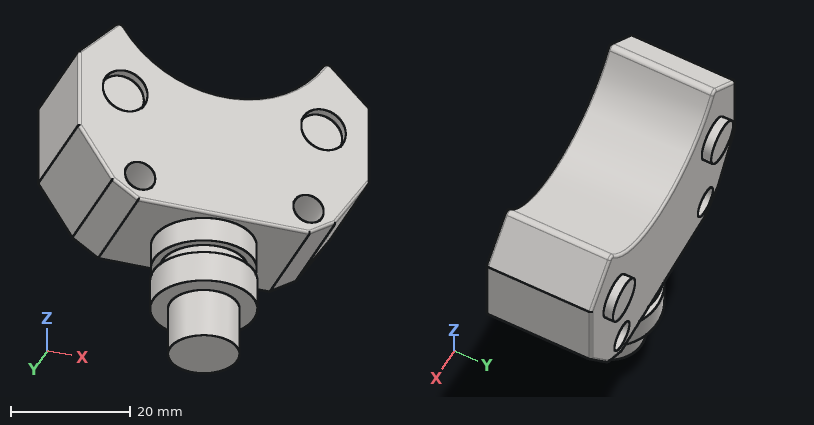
import cadquery as cq
import math

body_width = 52.0
body_depth = 20.05
body_bottom = 21.4
overall_height = 55.65
half_width = body_width / 2
back_y = body_depth / 2
front_y = -back_y
side_bottom = 33.9
lower_corner_x = 19.9
lower_corner_height = 24.5
floor_half_width = 15.3
saddle_radius = 21.0
saddle_bottom = 45.35
ridge_radius = 0.95
rim_radius = 0.5

saddle_center = saddle_bottom + saddle_radius
ridge_center_z = overall_height - ridge_radius
ridge_center_x = math.sqrt((saddle_radius + ridge_radius)**2 - (saddle_center - ridge_center_z)**2)
shoulder_sum = ridge_center_x + ridge_center_z + ridge_radius * math.sqrt(2)
shoulder_height = shoulder_sum - half_width

socket_diameter = 7.95
socket_spacing = 35.4
socket_height = 42.4
socket_depth = 1.8
bolt_hole_diameter = 5.4
bolt_hole_spacing = 30.05
bolt_hole_height = 26.15

stem_sections = [
    (17.75, 16.95),
    (14.85, 14.6),
    (18.0, 8.95),
    (12.0, 0.0),
]


def ridge_tip():
    """Return x and z where the 45 degree shoulder meets the saddle circle."""
    rise = shoulder_sum - saddle_center
    x = (rise + math.sqrt(2 * saddle_radius**2 - rise**2)) / 2
    return x, shoulder_sum - x


def make_body():
    tip_x, tip_z = ridge_tip()
    body = (
        cq.Workplane("XZ", origin=(0, back_y, 0))
        .moveTo(-floor_half_width, body_bottom)
        .lineTo(floor_half_width, body_bottom)
        .lineTo(lower_corner_x, lower_corner_height)
        .lineTo(half_width, side_bottom)
        .lineTo(half_width, shoulder_height)
        .lineTo(tip_x, tip_z)
        .threePointArc((0, saddle_bottom), (-tip_x, tip_z))
        .lineTo(-half_width, shoulder_height)
        .lineTo(-half_width, side_bottom)
        .lineTo(-lower_corner_x, lower_corner_height)
        .close()
        .extrude(body_depth)
    )
    for side in (-1, 1):
        ridge = cq.selectors.NearestToPointSelector((side * tip_x, 0, tip_z))
        body = body.edges(ridge).fillet(ridge_radius)
    return body.faces("<Y or >Y").fillet(rim_radius)


def paired_cylinders(diameter, spacing, height, start_y, length):
    """Make a symmetric pair of cylinders running from start_y toward -Y."""
    return (
        cq.Workplane("XZ", origin=(0, start_y, height))
        .pushPoints([(-spacing / 2, 0), (spacing / 2, 0)])
        .circle(diameter / 2)
        .extrude(length)
    )


def make_stem():
    stem = cq.Workplane("XY")
    top = body_bottom
    for diameter, bottom in stem_sections:
        section = cq.Workplane("XY", origin=(0, 0, bottom)).circle(diameter / 2).extrude(top - bottom)
        stem = stem.add(section)
        top = bottom
    return stem.combine()


sockets = paired_cylinders(
    socket_diameter, socket_spacing, socket_height, front_y + socket_depth, socket_depth
)
pegs = paired_cylinders(
    socket_diameter, socket_spacing, socket_height, back_y + socket_depth, socket_depth
)
bolt_holes = paired_cylinders(
    bolt_hole_diameter, bolt_hole_spacing, bolt_hole_height, back_y, body_depth
)

result = make_body().cut(sockets).cut(bolt_holes).union(pegs).union(make_stem())